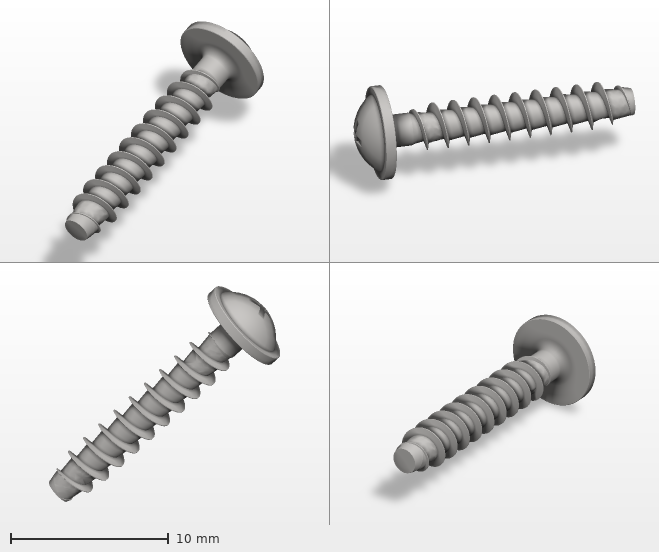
import cadquery as cq
import math


length = 18.06

flange_radius = 3.0
flange_base = 16.04
flange_top = 16.72
flange_chamfer = 0.04
dome_radius = 2.47
recess_width = 0.49
recess_floor = length - 0.18

shank_radius = 1.05
shank_end = 14.5
neck_fillet = 0.55
neck_taper_length = 0.55

core_radius = 0.85
land_high_radius = 1.05
land_low_radius = 0.87
land_gap = 0.07
tip_taper_length = 1.0
land_limit_radius = 1.08
land_overrun_turns = 1.0

pitch = 1.34
thread_radius = 1.5
thread_turns = 11.0
crest_half_width = 0.027
flank_angle = 15.0
root_radius = 0.8
start_angle = 90.0
tip_ramp_turns = 1.5
shank_ramp_turns = 1.0
shank_crest_radius = 1.03


def helix(start, end, turns):
    """Helical edge from (radius, height) to (radius, height), starting on the X axis."""
    start_radius, start_height = start
    end_radius, end_height = end
    rise = end_height - start_height
    cone_angle = math.atan2(end_radius - start_radius, rise)
    slant = rise / math.cos(cone_angle)
    cone = {"angle": math.degrees(cone_angle)} if end_radius != start_radius else {}
    wire = cq.Wire.makeHelix(slant / turns, slant, start_radius, cq.Vector(0, 0, start_height), **cone)
    return wire.Edges()[0]


def placed_section(section, turn):
    """Section points (radius, axial offset) raised to their height after the given turns."""
    return [(radius, turn * pitch + offset) for radius, offset in section]


def section_cap(section, turn):
    """Flat face closing a helical solid at the given turn."""
    corners = [cq.Vector(radius, 0, height) for radius, height in placed_section(section, turn)]
    face = cq.Face.makeFromWires(cq.Wire.makePolygon(corners, close=True))
    return face.rotate(cq.Vector(0, 0, 0), cq.Vector(0, 0, 1), 360.0 * turn)


def helical_solid(stations):
    """Solid whose section changes evenly between stations, each a (turn, section) pair."""
    faces = [section_cap(section, turn) for turn, section in (stations[0], stations[-1])]
    for (turn_a, section_a), (turn_b, section_b) in zip(stations, stations[1:]):
        starts = placed_section(section_a, turn_a)
        ends = placed_section(section_b, turn_b)
        edges = [
            helix(a, b, turn_b - turn_a).rotate(cq.Vector(0, 0, 0), cq.Vector(0, 0, 1), 360.0 * turn_a)
            for a, b in zip(starts, ends)
        ]
        for edge, next_edge in zip(edges, edges[1:] + edges[:1]):
            faces.append(cq.Face.makeRuledSurface(edge, next_edge))
    solid = cq.Solid.makeSolid(cq.Shell.makeShell(faces)).fix()
    return cq.Workplane(obj=solid).rotate((0, 0, 0), (0, 0, 1), start_angle)


def tooth_section(crest_radius):
    root_half_width = crest_half_width + (crest_radius - root_radius) * math.tan(math.radians(flank_angle))
    return [
        (root_radius, -root_half_width),
        (crest_radius, -crest_half_width),
        (crest_radius, crest_half_width),
        (root_radius, root_half_width),
    ]


def make_thread():
    """Thread that rises out of the core at the tip and fades into the shank."""
    thread = helical_solid([
        (0.0, tooth_section(core_radius)),
        (tip_ramp_turns, tooth_section(thread_radius)),
        (thread_turns - shank_ramp_turns, tooth_section(thread_radius)),
        (thread_turns, tooth_section(shank_crest_radius)),
    ])
    return thread.intersect(cq.Workplane().circle(flange_radius).extrude(flange_base))


def make_lands():
    """Sloped core surface between the turns, trimmed to a cone at the tip."""
    section = [
        (root_radius, land_gap - pitch),
        (land_low_radius, land_gap - pitch),
        (land_high_radius, 0.0),
        (root_radius, 0.0),
    ]
    lands = helical_solid([(0.0, section), (thread_turns + land_overrun_turns, section)])
    limit = (
        cq.Workplane("XZ")
        .lineTo(core_radius, 0)
        .lineTo(land_limit_radius, tip_taper_length)
        .lineTo(land_limit_radius, shank_end)
        .lineTo(0, shank_end)
        .close()
        .revolve(360, (0, 0, 0), (0, 1, 0))
    )
    return lands.intersect(limit)


def make_body():
    """Turned body: core, tapered neck, shank, flange and domed head."""
    recess_corner = recess_width / math.sqrt(2)
    corner_rise = length - flange_top
    centre_drop = (dome_radius**2 - recess_corner**2 - corner_rise**2) / (2 * corner_rise)
    sphere_radius = math.hypot(dome_radius, centre_drop)
    sphere_centre = flange_top - centre_drop
    rim_angle = math.atan2(centre_drop, dome_radius)
    mid_angle = (rim_angle + math.pi / 2) / 2
    dome_middle = (
        sphere_radius * math.cos(mid_angle),
        sphere_centre + sphere_radius * math.sin(mid_angle),
    )
    fillet_middle = neck_fillet * (1 - math.sqrt(0.5))
    return (
        cq.Workplane("XZ")
        .lineTo(core_radius, 0)
        .lineTo(core_radius, shank_end - neck_taper_length)
        .lineTo(shank_radius, shank_end)
        .lineTo(shank_radius, flange_base - neck_fillet)
        .threePointArc(
            (shank_radius + fillet_middle, flange_base - fillet_middle),
            (shank_radius + neck_fillet, flange_base),
        )
        .lineTo(flange_radius - flange_chamfer, flange_base)
        .lineTo(flange_radius, flange_base + flange_chamfer)
        .lineTo(flange_radius, flange_top - flange_chamfer)
        .lineTo(flange_radius - flange_chamfer, flange_top)
        .lineTo(dome_radius, flange_top)
        .threePointArc(dome_middle, (0, sphere_centre + sphere_radius))
        .close()
        .revolve(360, (0, 0, 0), (0, 1, 0))
    )


def make_cross_recess():
    """Two crossing slots over the top of the dome."""
    cut_height = 2 * (length - recess_floor)
    floor = cq.Workplane().workplane(offset=recess_floor)
    slot = floor.rect(2 * dome_radius, recess_width).extrude(cut_height)
    return slot.union(slot.rotate((0, 0, 0), (0, 0, 1), 90))


screw = make_body().cut(make_cross_recess()).union(make_lands()).union(make_thread())
result = screw.rotate((0, 0, 0), (1, 0, 0), -90)